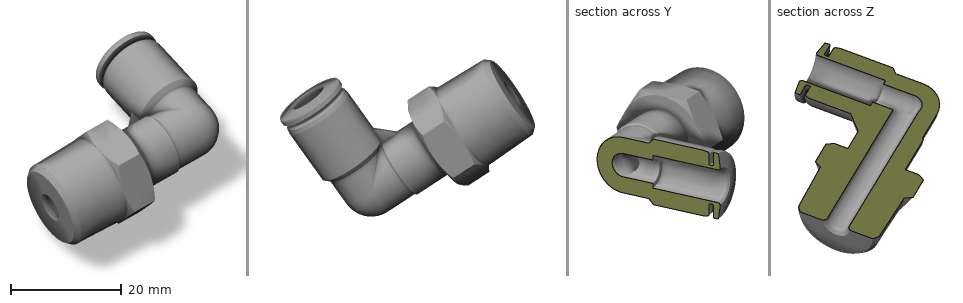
import cadquery as cq
import math


elbow_dia = 11.0

mouth_x = -20.395
sleeve_dia = 13.0
ring_front_dia = 12.8
ring_front_at = 0.41
ring_full_at = 0.69
ring_back_at = 1.52
neck_dia = 7.75
neck_root_dia = 7.9
neck_straight_at = 1.8
sleeve_front_at = 2.34
sleeve_lead_dia = 12.6
sleeve_edge_chamfer = 0.25
sleeve_full_at = 3.45
sleeve_end_at = 14.06

tube_dia = 6.35
mouth_dia = 7.1
tube_bore_dia = 4.5
stem_bore_dia = 4.3
stem_bore_mouth_dia = 5.4

collar_dia = 11.6
collar_y = -6.3
hex_top_y = -13.9
hex_bottom_y = -20.0
stem_end_y = -31.0

hex_sides = 6
hex_flats = 17.0
hex_chamfer_angle = 30.0

thread_top_dia = 16.9
thread_taper = 1 / 16
thread_end_dia = 14.6
thread_chamfer_length = 1.0

rib_thickness = 1.5
rib_tip_x = -8.75
rib_tip_y = -9.6


def revolve_about_x(profile):
    """Solid of revolution about X from (x, radius) corner points."""
    return cq.Workplane("XY").polyline(profile).close().revolve(360, (0, 0, 0), (1, 0, 0))


def revolve_about_y(profile):
    """Solid of revolution about Y from (radius, y) corner points."""
    return cq.Workplane("XY").polyline(profile).close().revolve(360, (0, 0, 0), (0, 1, 0))


def elbow():
    """Round bend, mitred on the inside and spherical on the outside.

    Its ends are buried in the sleeve and in the collar.
    """
    start_x = mouth_x + sleeve_end_at
    path = cq.Workplane("XY").polyline([(start_x, 0), (0, 0), (0, collar_y)])
    return (
        cq.Workplane("YZ", origin=(start_x, 0, 0))
        .circle(elbow_dia / 2)
        .sweep(path, transition="round")
    )


def tube_arm():
    """Release ring, neck and sleeve, ending in a conical shoulder at the elbow."""
    sleeve_radius = sleeve_dia / 2
    elbow_radius = elbow_dia / 2
    lead_radius = sleeve_lead_dia / 2
    shoulder_length = sleeve_radius - elbow_radius
    return revolve_about_x([
        (mouth_x, 0),
        (mouth_x, mouth_dia / 2),
        (mouth_x + ring_front_at, ring_front_dia / 2),
        (mouth_x + ring_full_at, sleeve_radius),
        (mouth_x + ring_back_at, sleeve_radius),
        (mouth_x + ring_back_at, neck_root_dia / 2),
        (mouth_x + neck_straight_at, neck_dia / 2),
        (mouth_x + sleeve_front_at, neck_dia / 2),
        (mouth_x + sleeve_front_at, lead_radius - sleeve_edge_chamfer),
        (mouth_x + sleeve_front_at + sleeve_edge_chamfer, lead_radius),
        (mouth_x + sleeve_full_at, sleeve_radius),
        (mouth_x + sleeve_end_at, sleeve_radius),
        (mouth_x + sleeve_end_at + shoulder_length, elbow_radius),
        (mouth_x + sleeve_end_at + shoulder_length, 0),
    ])


def stem():
    """Collar and tapered thread body, ending at the elbow."""
    elbow_radius = elbow_dia / 2
    collar_radius = collar_dia / 2
    collar_chamfer = collar_radius - elbow_radius
    chamfer_y = stem_end_y + thread_chamfer_length
    thread_top_radius = thread_top_dia / 2
    thread_low_radius = thread_top_radius - (hex_bottom_y - chamfer_y) * thread_taper / 2
    return revolve_about_y([
        (0, collar_y + collar_chamfer),
        (elbow_radius, collar_y + collar_chamfer),
        (collar_radius, collar_y),
        (collar_radius, hex_bottom_y),
        (thread_top_radius, hex_bottom_y),
        (thread_low_radius, chamfer_y),
        (thread_end_dia / 2, stem_end_y),
        (0, stem_end_y),
    ])


def hexagon():
    """Wrench hexagon with flats facing +Z and -Z, both ends chamfered."""
    corner_dia = hex_flats / math.cos(math.pi / hex_sides)
    flat_radius = hex_flats / 2
    corner_radius = corner_dia / 2
    drop = (corner_radius - flat_radius) * math.tan(math.radians(hex_chamfer_angle))
    prism = (
        cq.Workplane("XZ", origin=(0, hex_top_y, 0))
        .polygon(hex_sides, corner_dia)
        .extrude(hex_top_y - hex_bottom_y)
    )
    envelope = revolve_about_y([
        (0, hex_top_y),
        (flat_radius, hex_top_y),
        (corner_radius, hex_top_y - drop),
        (corner_radius, hex_bottom_y + drop),
        (flat_radius, hex_bottom_y),
        (0, hex_bottom_y),
    ])
    return prism.intersect(envelope)


def corner_rib():
    """Triangular rib between the sleeve and the stem collar."""
    sleeve_edge_y = -sleeve_dia / 2
    collar_edge_x = -collar_dia / 2
    inside_x = -elbow_dia / 4
    inside_y = -elbow_dia / 4
    return (
        cq.Workplane("XY")
        .polyline([
            (rib_tip_x, inside_y),
            (rib_tip_x, sleeve_edge_y),
            (collar_edge_x, rib_tip_y),
            (inside_x, rib_tip_y),
            (inside_x, inside_y),
        ])
        .close()
        .extrude(rib_thickness / 2, both=True)
    )


def tube_passage():
    """Flared tube socket, then a smaller bore with a domed end at the elbow."""
    flare_depth = (mouth_dia - tube_dia) / 2
    bore_radius = tube_bore_dia / 2
    dome_middle = bore_radius * math.sqrt(0.5)
    return (
        cq.Workplane("XY")
        .moveTo(mouth_x, 0)
        .lineTo(mouth_x, mouth_dia / 2)
        .lineTo(mouth_x + flare_depth, tube_dia / 2)
        .lineTo(mouth_x + sleeve_end_at, tube_dia / 2)
        .lineTo(mouth_x + sleeve_end_at, bore_radius)
        .lineTo(0, bore_radius)
        .threePointArc((dome_middle, dome_middle), (bore_radius, 0))
        .close()
        .revolve(360, (0, 0, 0), (1, 0, 0))
    )


def stem_passage():
    """Stem bore from the elbow centre to its countersunk end."""
    countersink_depth = (stem_bore_mouth_dia - stem_bore_dia) / 2
    return revolve_about_y([
        (0, 0),
        (stem_bore_dia / 2, 0),
        (stem_bore_dia / 2, stem_end_y + countersink_depth),
        (stem_bore_mouth_dia / 2, stem_end_y),
        (0, stem_end_y),
    ])


body = tube_arm().union(elbow()).union(stem()).union(hexagon()).union(corner_rib())
result = body.cut(tube_passage()).cut(stem_passage())